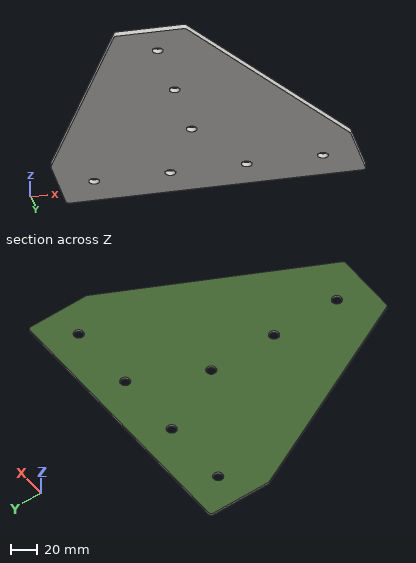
import cadquery as cq

thickness = 4.0
hole_pitch = 60.0
hole_diameter = 8.2
edge_margin = 28.0
corner_radius = 3.0
holes_across = 4
holes_down = 3

arm_width = 2 * edge_margin
plate_width = (holes_across - 1) * hole_pitch + 2 * edge_margin
plate_length = holes_down * hole_pitch + 2 * edge_margin
half_width = plate_width / 2
top_y = plate_length / 2
bottom_y = -plate_length / 2
shoulder_y = top_y - arm_width
foot_half_width = arm_width / 2
row_y = top_y - edge_margin


def make_plate():
    """Flat T-joint plate tapering from the wide edge to the foot, with rounded corners."""
    outline = [
        (-half_width, top_y),
        (half_width, top_y),
        (half_width, shoulder_y),
        (foot_half_width, bottom_y),
        (-foot_half_width, bottom_y),
        (-half_width, shoulder_y),
    ]
    plate = cq.Workplane("XY").polyline(outline).close().extrude(thickness)
    return plate.edges("|Z").fillet(corner_radius)


def hole_centres():
    """Centres of the T pattern: a row along the wide edge and a column down the middle."""
    row_start_x = -half_width + edge_margin
    row = [(row_start_x + i * hole_pitch, row_y) for i in range(holes_across)]
    column = [(0, row_y - (i + 1) * hole_pitch) for i in range(holes_down)]
    return row + column


def drill_holes(plate):
    """Drill the fastener holes through the plate."""
    top_face = plate.faces(">Z").workplane(origin=(0, 0, 0))
    return top_face.pushPoints(hole_centres()).hole(hole_diameter)


result = drill_holes(make_plate())